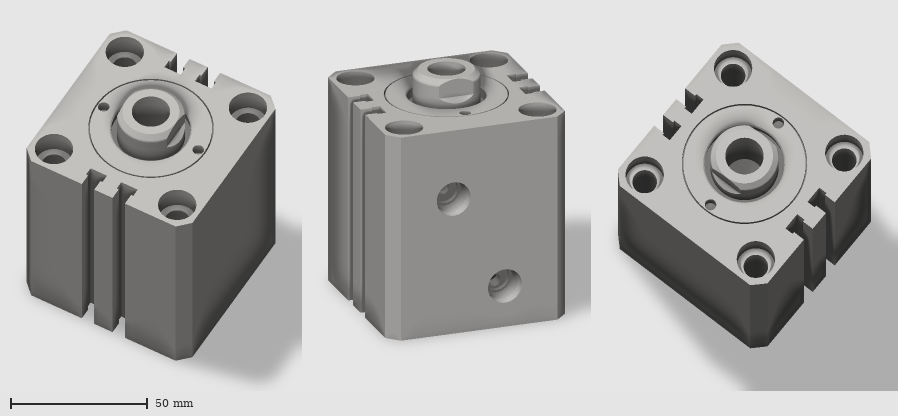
import cadquery as cq

BODY_WIDTH = 70.0
BODY_HEIGHT = 80.0
CORNER_CHAMFER = 4.5
SIDE_X = -BODY_WIDTH / 2
BORE_DIAMETER = 44.8
BORE_FLOOR_Z = 11.0
BORE_RIM_DIAMETER = 46.0
BORE_RIM_DEPTH = 1.8

BOLT_PITCH = 52.0
BOLT_HOLE_DIAMETER = 9.0
BOLT_HEAD_DIAMETER = 14.0
BOLT_HEAD_DEPTH = 9.0

SLOT_OFFSET = 6.5
SLOT_NECK_WIDTH = 5.2
SLOT_NECK_DEPTH = 4.6
SLOT_HEAD_WIDTH = 6.9
SLOT_DEPTH = 7.9

PORT_OFFSET = 10.0
UPPER_PORT_Z = 53.0
LOWER_PORT_Z = 16.0
LOWER_PASSAGE_DROP = 2.0
PORT_DIAMETER = 13.1
PORT_END_DIAMETER = 12.4
PORT_DEPTH = 10.0
PORT_RELIEF_DIAMETER = 10.6
PORT_RELIEF_DEPTH = 11.7
PASSAGE_DIAMETER = 4.9

TOP_Z = 90.0
ROD_DIAMETER = 25.0
PISTON_HEIGHT = 30.0
PISTON_CHAMFER = 3.0
TIP_CHAMFER = 2.1
EDGE_FILLET = 1.0
FLATS_WIDTH = 21.1
FLATS_LENGTH = 7.0
ROD_HOLE_DIAMETER = 14.0
ROD_HOLE_DEPTH = 27.0
ROD_HOLE_CONE_HEIGHT = 4.05

GLAND_BOTTOM_Z = 54.1
GLAND_MOUTH_DIAMETER = 29.2
GLAND_CHAMFER = 0.5
GLAND_LIP_DEPTH = 1.4
WRENCH_HOLE_DIAMETER = 4.2
WRENCH_HOLE_PITCH = 40.0
WRENCH_HOLE_DEPTH = 4.5

WIPER_DIAMETER = 29.9
WIPER_HEIGHT = 4.5
WIPER_TOP_Z = BODY_HEIGHT - 4.5
WIPER_BOTTOM_Z = WIPER_TOP_Z - WIPER_HEIGHT


def cylinder(diameter, bottom, top):
    """Upright cylinder on the Z axis."""
    return cq.Workplane("XY").workplane(offset=bottom).circle(diameter / 2).extrude(top - bottom)


def make_t_slot():
    """T-shaped cutter for a slot at the middle of the -Y side."""
    outer = -BODY_WIDTH / 2
    shoulder = outer + SLOT_NECK_DEPTH
    inner = outer + SLOT_DEPTH
    neck = SLOT_NECK_WIDTH / 2
    head = SLOT_HEAD_WIDTH / 2
    half_outline = [(neck, outer), (neck, shoulder), (head, shoulder), (head, inner)]
    other_half = [(-x, y) for x, y in reversed(half_outline)]
    return cq.Workplane("XY").polyline(half_outline + other_half).close().extrude(BODY_HEIGHT)


def make_port(y, z, passage_z):
    """Tapered port cutter with a relief bore and a passage that reaches the cylinder bore."""
    inward = cq.Vector(1, 0, 0)
    mouth = cq.Vector(SIDE_X, y, z)
    passage_start = cq.Vector(SIDE_X, y, passage_z)
    taper = cq.Solid.makeCone(PORT_DIAMETER / 2, PORT_END_DIAMETER / 2, PORT_DEPTH, mouth, inward)
    relief = cq.Solid.makeCylinder(PORT_RELIEF_DIAMETER / 2, PORT_RELIEF_DEPTH, mouth, inward)
    passage = cq.Solid.makeCylinder(PASSAGE_DIAMETER / 2, -SIDE_X, passage_start, inward)
    return cq.Workplane(taper).union(cq.Workplane(relief)).union(cq.Workplane(passage))


def make_housing():
    block = (
        cq.Workplane("XY")
        .box(BODY_WIDTH, BODY_WIDTH, BODY_HEIGHT, centered=(True, True, False))
        .edges("|Z")
        .chamfer(CORNER_CHAMFER)
    )
    block = (
        block.faces(">Z")
        .workplane()
        .rect(BOLT_PITCH, BOLT_PITCH, forConstruction=True)
        .vertices()
        .cboreHole(BOLT_HOLE_DIAMETER, BOLT_HEAD_DIAMETER, BOLT_HEAD_DEPTH)
    )
    for x in (-SLOT_OFFSET, SLOT_OFFSET):
        slot = make_t_slot().translate((x, 0, 0))
        block = block.cut(slot).cut(slot.mirror("XZ"))
    block = block.cut(make_port(PORT_OFFSET, UPPER_PORT_Z, UPPER_PORT_Z))
    block = block.cut(make_port(-PORT_OFFSET, LOWER_PORT_Z, LOWER_PORT_Z - LOWER_PASSAGE_DROP))
    block = block.cut(cylinder(BORE_DIAMETER, BORE_FLOOR_Z, BODY_HEIGHT))
    return block.cut(cylinder(BORE_RIM_DIAMETER, BODY_HEIGHT - BORE_RIM_DEPTH, BODY_HEIGHT))


def make_gland():
    """Turned gland with a chamfered mouth, a wiper groove and two wrench holes."""
    outer = BORE_DIAMETER / 2
    rod = ROD_DIAMETER / 2
    groove = WIPER_DIAMETER / 2
    mouth = GLAND_MOUTH_DIAMETER / 2
    lip_z = BODY_HEIGHT - GLAND_LIP_DEPTH
    half_section = [
        (rod, GLAND_BOTTOM_Z),
        (outer, GLAND_BOTTOM_Z),
        (outer, BODY_HEIGHT),
        (mouth + GLAND_CHAMFER, BODY_HEIGHT),
        (mouth, BODY_HEIGHT - GLAND_CHAMFER),
        (mouth, lip_z),
        (groove, lip_z),
        (groove, WIPER_BOTTOM_Z),
        (rod, WIPER_BOTTOM_Z),
    ]
    gland = cq.Workplane("XZ").polyline(half_section).close().revolve(360, (0, 0, 0), (0, 1, 0))
    wrench_holes = (
        cq.Workplane("XY")
        .workplane(offset=BODY_HEIGHT)
        .pushPoints([(-WRENCH_HOLE_PITCH / 2, 0), (WRENCH_HOLE_PITCH / 2, 0)])
        .circle(WRENCH_HOLE_DIAMETER / 2)
        .extrude(-WRENCH_HOLE_DEPTH)
    )
    return gland.cut(wrench_holes)


def make_wiper():
    ring = cylinder(WIPER_DIAMETER, WIPER_BOTTOM_Z, WIPER_TOP_Z)
    return ring.cut(cylinder(ROD_DIAMETER, WIPER_BOTTOM_Z, WIPER_TOP_Z))


def round_chamfered_end(shaft, end, chamfer):
    """Chamfer one end of a plain cylinder and round the outer rim of that chamfer."""
    chamfered = shaft.faces(end).chamfer(chamfer)
    widest_circles = chamfered.edges("%CIRCLE").edges(cq.selectors.RadiusNthSelector(-1))
    return widest_circles.edges(end).fillet(EDGE_FILLET)


def make_wrench_flat():
    """Cutter for the flat on the +X side of the tip, with a 45 degree run-out below it."""
    inner = FLATS_WIDTH / 2
    outer = ROD_DIAMETER / 2
    flat_z = TOP_Z - FLATS_LENGTH
    run_out_z = flat_z - (outer - inner)
    section = [(inner, TOP_Z), (inner, flat_z), (outer, run_out_z), (outer, TOP_Z)]
    return cq.Workplane("XZ").polyline(section).close().extrude(outer, both=True)


def make_piston_rod():
    piston_blank = cylinder(BORE_DIAMETER, BORE_FLOOR_Z, BORE_FLOOR_Z + PISTON_HEIGHT)
    piston = round_chamfered_end(piston_blank, "<Z", PISTON_CHAMFER)
    rod_blank = cylinder(ROD_DIAMETER, BORE_FLOOR_Z, TOP_Z)
    piston_rod = piston.union(round_chamfered_end(rod_blank, ">Z", TIP_CHAMFER))

    hole_z = TOP_Z - ROD_HOLE_DEPTH
    drill_point = cq.Solid.makeCone(
        ROD_HOLE_DIAMETER / 2, 0, ROD_HOLE_CONE_HEIGHT, cq.Vector(0, 0, hole_z), cq.Vector(0, 0, -1)
    )
    piston_rod = piston_rod.cut(cylinder(ROD_HOLE_DIAMETER, hole_z, TOP_Z)).cut(cq.Workplane(drill_point))

    flat = make_wrench_flat()
    return piston_rod.cut(flat).cut(flat.mirror("YZ"))


housing = make_housing()
gland = make_gland()
wiper = make_wiper()
piston_rod = make_piston_rod()
bodies = [housing, gland, wiper, piston_rod]
result = cq.Compound.makeCompound([body.solids().val() for body in bodies])